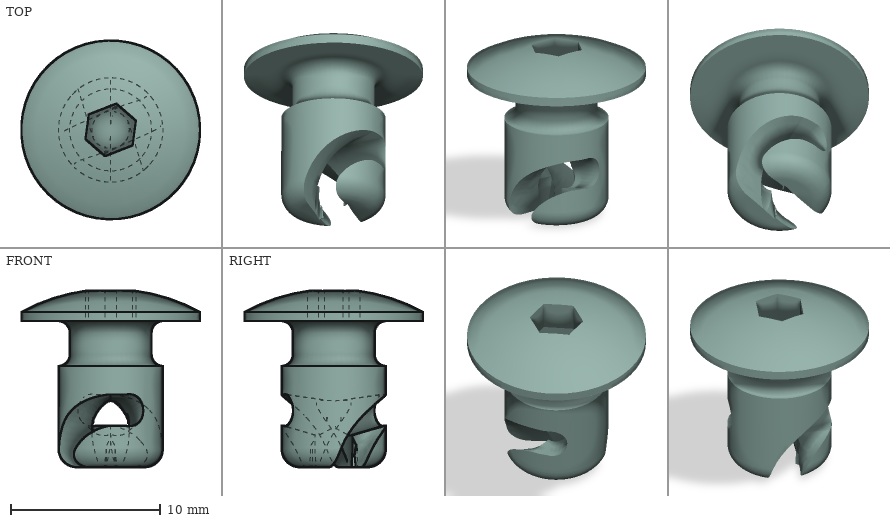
import cadquery as cq
import math

BODY_TOP = 6.8
NECK_FILLET = 0.75
NECK_LENGTH = 1.5
RIM_THICKNESS = 0.6
DOME_HEIGHT = 1.55
HEAD_BOTTOM = BODY_TOP + 2 * NECK_FILLET + NECK_LENGTH
RIM_TOP = HEAD_BOTTOM + RIM_THICKNESS

HEAD_RADIUS = 6.0
BODY_RADIUS = 3.5
NECK_RADIUS = BODY_RADIUS - NECK_FILLET
FOOT_FILLET = 1.25

SOCKET_RADIUS = 1.8
SOCKET_FLOOR = HEAD_BOTTOM
SOCKET_HEIGHT = RIM_THICKNESS + DOME_HEIGHT
SOCKET_CORNER_ANGLES = (-35.2, 20.2, 77.9)

SLOT_WIDTH = 2.1
SLOT_LEVEL = 3.85
SLOT_ARC_RADIUS = 4.25
SLOT_END_ANGLE = -21.0
SLOT_SINK = 0.72
SLOT_FLARE = 0.25
SLOT_CLEARANCE = 0.7
SLOT_REACH = BODY_RADIUS + SLOT_CLEARANCE
SLOT_SLANT = 1.0
SLOT_COUNT = 2
ARC_STATIONS = 13
CORE_RADIUS = 1.25


def make_stud():
    """Revolved body: shank, waisted neck and domed head."""
    dome_radius = (HEAD_RADIUS**2 + DOME_HEIGHT**2) / (2 * DOME_HEIGHT)
    dome_top = RIM_TOP + DOME_HEIGHT
    dome_mid_radius = HEAD_RADIUS / 2
    dome_mid_height = dome_top - dome_radius + math.sqrt(dome_radius**2 - dome_mid_radius**2)
    profile = (
        cq.Workplane("XZ")
        .lineTo(BODY_RADIUS - FOOT_FILLET, 0)
        .radiusArc((BODY_RADIUS, FOOT_FILLET), -FOOT_FILLET)
        .lineTo(BODY_RADIUS, BODY_TOP)
        .radiusArc((NECK_RADIUS, BODY_TOP + NECK_FILLET), NECK_FILLET)
        .lineTo(NECK_RADIUS, HEAD_BOTTOM - NECK_FILLET)
        .radiusArc((BODY_RADIUS, HEAD_BOTTOM), NECK_FILLET)
        .lineTo(HEAD_RADIUS, HEAD_BOTTOM)
        .lineTo(HEAD_RADIUS, RIM_TOP)
        .threePointArc((dome_mid_radius, dome_mid_height), (0, dome_top))
        .close()
    )
    return profile.revolve(360, (0, 0, 0), (0, 1, 0))


def make_socket():
    """Six-sided prism reaching from the socket floor out through the dome."""
    angles = SOCKET_CORNER_ANGLES + tuple(angle + 180 for angle in SOCKET_CORNER_ANGLES)
    corners = [
        (SOCKET_RADIUS * math.cos(math.radians(angle)), SOCKET_RADIUS * math.sin(math.radians(angle)))
        for angle in angles
    ]
    return cq.Workplane("XY").workplane(offset=SOCKET_FLOOR).polyline(corners).close().extrude(SOCKET_HEIGHT)


def sink_at(radius):
    """Height of the slot's middle at a radius, relative to its height on the body surface."""
    return SLOT_SINK * (radius / BODY_RADIUS - 1)


def half_width_at(radius):
    """Half the width of the slot at a radius."""
    return SLOT_WIDTH / 2 + SLOT_FLARE * (1 - radius / BODY_RADIUS)


def slot_point(turn, radius, side):
    """Point on the slot wall above (side 1) or below (side -1) the slot's middle line.

    The turn runs from 0, where the slot is level, to a right angle, where it is upright.
    """
    angle = SLOT_ARC_RADIUS * math.sin(turn) / BODY_RADIUS
    middle = SLOT_LEVEL - SLOT_ARC_RADIUS * (1 - math.cos(turn)) + sink_at(radius)
    sideways = side * half_width_at(radius) * math.sin(turn)
    upward = side * half_width_at(radius) * math.cos(turn)
    return cq.Vector(
        -radius * math.sin(angle) - sideways * math.cos(angle),
        -radius * math.cos(angle) + sideways * math.sin(angle),
        middle + upward,
    )


def make_curved_run():
    """Rising part of a slot, closed by ruled faces between its four long edges."""
    turns = [math.pi / 2 * station / (ARC_STATIONS - 1) for station in range(ARC_STATIONS)]
    corners = [(-SLOT_SLANT, 1), (SLOT_REACH, 1), (SLOT_REACH, -1), (SLOT_SLANT, -1)]
    edges = [
        cq.Edge.makeSpline([slot_point(turn, radius, side) for turn in turns])
        for radius, side in corners
    ]
    faces = [
        cq.Face.makeRuledSurface(edge, edges[(index + 1) % len(edges)])
        for index, edge in enumerate(edges)
    ]
    for turn in (turns[0], turns[-1]):
        outline = [slot_point(turn, radius, side) for radius, side in corners]
        faces.append(cq.Face.makeFromWires(cq.Wire.makePolygon(outline, close=True)))
    return cq.Workplane(obj=cq.Solid.makeSolid(cq.Shell.makeShell(faces)))


def make_level_run():
    """Level part of a slot, turned about the axis."""
    corners = [(0, 1), (SLOT_REACH, 1), (SLOT_REACH, -1), (0, -1)]
    outline = [
        (radius, SLOT_LEVEL + sink_at(radius) + side * half_width_at(radius))
        for radius, side in corners
    ]
    sector = cq.Workplane("XZ").polyline(outline).close().revolve(-SLOT_END_ANGLE, (0, 0, 0), (0, 1, 0))
    return sector.rotate((0, 0, 0), (0, 0, 1), -90)


def make_round_end():
    """Cone that rounds off the level end of a slot."""
    angle = math.radians(SLOT_END_ANGLE)
    start = cq.Vector(0, 0, SLOT_LEVEL + sink_at(0))
    outer_height = SLOT_LEVEL + sink_at(SLOT_REACH)
    end = cq.Vector(-SLOT_REACH * math.sin(angle), -SLOT_REACH * math.cos(angle), outer_height)
    axis = end - start
    cone = cq.Solid.makeCone(half_width_at(0), half_width_at(SLOT_REACH), axis.Length, start, axis)
    return cq.Workplane(obj=cone)


def make_core():
    """Clearance along the axis where the slots meet, from the foot up to their middle height."""
    return cq.Workplane("XY").circle(CORE_RADIUS).extrude(SLOT_LEVEL + sink_at(0))


def cut_slots(part):
    """Cut the clearance between the slots and then the slots, evenly spaced round the axis."""
    part = part.cut(make_core())
    for run in (make_curved_run(), make_level_run(), make_round_end()):
        for index in range(SLOT_COUNT):
            part = part.cut(run.rotate((0, 0, 0), (0, 0, 1), index * 360 / SLOT_COUNT))
    return part


result = cut_slots(make_stud().cut(make_socket()))